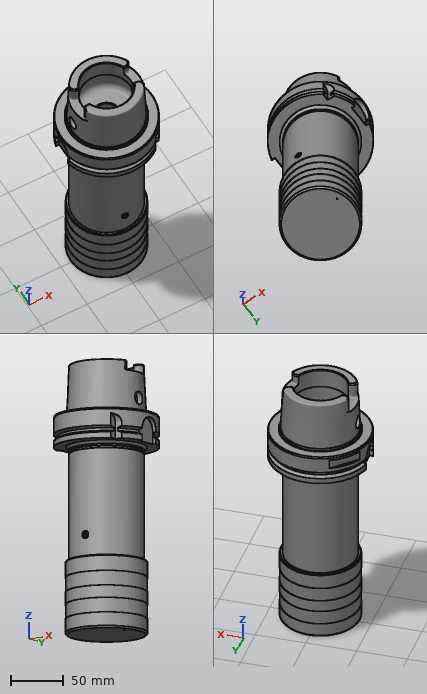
import cadquery as cq
import math

TOTAL_HEIGHT = 260.0
PIP_HEIGHT = 0.5
BOTTOM_Z = PIP_HEIGHT

COLLAR_RADIUS = 39.0
COLLAR_TOP_Z = 71.0
COLLAR_TOP_CHAMFER = 1.0
COLLAR_BOTTOM_CHAMFER = 1.8
BAND_DEPTH = 0.3
BAND_HEIGHT = 14.0
BAND_BOTTOMS = (15.3, 41.3)

SHANK_RADIUS = 36.0
NECK_RADIUS = 38.7
NECK_GROOVE_BOTTOM_Z = 174.2
NECK_GROOVE_TOP_Z = 176.8
NECK_GROOVE_DEPTH = 0.4

FLANGE_DIAMETER = 100.0
FLANGE_RADIUS = FLANGE_DIAMETER / 2
FLANGE_BOTTOM_Z = 181.2
FLANGE_TOP_Z = 210.5
FLANGE_CHAMFER = 0.8
FLANGE_CHAMFER_HEIGHT = 1.5
GROOVE_RADIUS = 46.5
GROOVE_BOTTOM_Z = 186.7
GROOVE_ROOT_BOTTOM_Z = 188.8
GROOVE_ROOT_TOP_Z = 191.4
GROOVE_TOP_Z = 193.2

TAPER_BASE_RADIUS = 38.0
TAPER_TOP_RADIUS = 35.5
RIM_FILLET = 1.5
RELIEF_DEPTH = 0.4
FACE_GROOVE_DEPTH = 0.8
RELIEF_HEIGHT = 2.0
RELIEF_OUTER_RADIUS = 39.8

MOUTH_RADIUS = 26.3
MOUTH_CHAMFER = 0.8
MOUTH_BOTTOM_Z = 241.0
UNDERCUT_RADIUS = 31.5
UNDERCUT_FILLET = 6.2
BORE_FLOOR_Z = 215.0
COOLANT_RADIUS = 11.7
COOLANT_CHAMFER = 0.8
COOLANT_DEPTH = 15.5

SLOT_HALF_WIDTH = 9.5
SLOT_END_X = 32.2
SLOT_CORNER_RADIUS = 5.5
SLOT_FLOOR_FILLET = 1.5
SLOT_TOP_CHAMFER = 1.3
LEFT_SLOT_FLOOR_Z = 245.0
RIGHT_SLOT_FLOOR_Z = 250.0

CROSS_HOLE_RADIUS = 6.2
CROSS_HOLE_Z = 225.0

KEYWAY_RADIUS = 11.5
KEYWAY_TOP_Z = 205.1
KEYWAY_FLOOR_X = 45.0
NOTCH_RADIUS = 9.0
NOTCH_FLOOR_X = 31.5
NOTCH_WALL_Y = -31.5

POCKET_DISTANCE = 47.3
POCKET_BOTTOM_Z = 197.9
POCKET_TOP_Z = 206.7
POCKET_ANGLE = 135

SCREW_Z = 91.5
SCREW_RADIUS = 2.9
SCREW_RECESS = 1.5
SCREW_CHAMFER = 0.8
SOCKET_RADIUS = 2.0
SOCKET_POINT_RADIUS = 1.3
SOCKET_DEPTH = 4.0
PIP_RADIUS = 0.5
PIP_X = 28.5
PIP_Y = -12.2

CLEARANCE = 13.0


def turned_body():
    """Solid of revolution with collar, shank, flange and taper."""
    relief_radius = TAPER_BASE_RADIUS - RELIEF_DEPTH
    neck_bottom_z = FLANGE_BOTTOM_Z - (NECK_RADIUS - SHANK_RADIUS)
    neck_groove_radius = SHANK_RADIUS - NECK_GROOVE_DEPTH
    points = [
        (0, BOTTOM_Z),
        (COLLAR_RADIUS - COLLAR_BOTTOM_CHAMFER, BOTTOM_Z),
        (COLLAR_RADIUS, BOTTOM_Z + COLLAR_BOTTOM_CHAMFER),
    ]
    for band_z in BAND_BOTTOMS:
        points += [
            (COLLAR_RADIUS, band_z),
            (COLLAR_RADIUS - BAND_DEPTH, band_z),
            (COLLAR_RADIUS - BAND_DEPTH, band_z + BAND_HEIGHT),
            (COLLAR_RADIUS, band_z + BAND_HEIGHT),
        ]
    points += [
        (COLLAR_RADIUS, COLLAR_TOP_Z - COLLAR_TOP_CHAMFER),
        (COLLAR_RADIUS - COLLAR_TOP_CHAMFER, COLLAR_TOP_Z),
        (SHANK_RADIUS, COLLAR_TOP_Z),
        (SHANK_RADIUS, NECK_GROOVE_BOTTOM_Z),
        (neck_groove_radius, NECK_GROOVE_BOTTOM_Z + NECK_GROOVE_DEPTH),
        (neck_groove_radius, NECK_GROOVE_TOP_Z - NECK_GROOVE_DEPTH),
        (SHANK_RADIUS, NECK_GROOVE_TOP_Z),
        (SHANK_RADIUS, neck_bottom_z),
        (NECK_RADIUS, FLANGE_BOTTOM_Z),
        (FLANGE_RADIUS, FLANGE_BOTTOM_Z),
        (FLANGE_RADIUS, GROOVE_BOTTOM_Z),
        (GROOVE_RADIUS, GROOVE_ROOT_BOTTOM_Z),
        (GROOVE_RADIUS, GROOVE_ROOT_TOP_Z),
        (FLANGE_RADIUS, GROOVE_TOP_Z),
        (FLANGE_RADIUS, FLANGE_TOP_Z - FLANGE_CHAMFER_HEIGHT),
        (FLANGE_RADIUS - FLANGE_CHAMFER, FLANGE_TOP_Z),
        (RELIEF_OUTER_RADIUS, FLANGE_TOP_Z),
        (RELIEF_OUTER_RADIUS - FACE_GROOVE_DEPTH, FLANGE_TOP_Z - FACE_GROOVE_DEPTH),
        (relief_radius, FLANGE_TOP_Z - FACE_GROOVE_DEPTH),
        (relief_radius, FLANGE_TOP_Z + RELIEF_HEIGHT - RELIEF_DEPTH),
        (TAPER_BASE_RADIUS, FLANGE_TOP_Z + RELIEF_HEIGHT),
        (TAPER_TOP_RADIUS, TOTAL_HEIGHT),
        (0, TOTAL_HEIGHT),
    ]
    profile = cq.Workplane("XZ").polyline(points).close()
    body = profile.revolve(360, (0, 0, 0), (0, 1, 0))
    return body.faces(">Z").edges().fillet(RIM_FILLET)


def bore():
    """Cutter for the stepped bore: mouth, undercut with a filleted floor, and coolant hole."""
    coolant_bottom_z = BORE_FLOOR_Z - COOLANT_DEPTH
    floor_radius = UNDERCUT_RADIUS - UNDERCUT_FILLET
    fillet_top_z = BORE_FLOOR_Z + UNDERCUT_FILLET
    fillet_offset = UNDERCUT_FILLET * math.sin(math.radians(45))
    fillet_mid = (floor_radius + fillet_offset, fillet_top_z - fillet_offset)
    profile = (
        cq.Workplane("XZ")
        .moveTo(0, coolant_bottom_z)
        .lineTo(COOLANT_RADIUS, coolant_bottom_z)
        .lineTo(COOLANT_RADIUS, BORE_FLOOR_Z - COOLANT_CHAMFER)
        .lineTo(COOLANT_RADIUS + COOLANT_CHAMFER, BORE_FLOOR_Z)
        .lineTo(floor_radius, BORE_FLOOR_Z)
        .threePointArc(fillet_mid, (UNDERCUT_RADIUS, fillet_top_z))
        .lineTo(UNDERCUT_RADIUS, MOUTH_BOTTOM_Z)
        .lineTo(MOUTH_RADIUS, MOUTH_BOTTOM_Z)
        .lineTo(MOUTH_RADIUS, TOTAL_HEIGHT - MOUTH_CHAMFER)
        .lineTo(MOUTH_RADIUS + MOUTH_CHAMFER, TOTAL_HEIGHT)
        .lineTo(0, TOTAL_HEIGHT)
        .close()
    )
    return profile.revolve(360, (0, 0, 0), (0, 1, 0))


def slot_outline(z):
    """Plan outline at height z of a rim slot on the +X side, open towards both rim ends.

    Each rim end is rounded until its arc is farthest from the tool axis; from there
    the wall runs on straight along the arc's tangent and leaves the taper.
    """
    center_x = SLOT_END_X - SLOT_CORNER_RADIUS
    center_y = SLOT_HALF_WIDTH + SLOT_CORNER_RADIUS
    end_angle = math.atan2(center_y, center_x)
    mid_angle = (end_angle - math.pi / 2) / 2
    mid_x = center_x + SLOT_CORNER_RADIUS * math.cos(mid_angle)
    mid_y = center_y + SLOT_CORNER_RADIUS * math.sin(mid_angle)
    end_x = center_x + SLOT_CORNER_RADIUS * math.cos(end_angle)
    end_y = center_y + SLOT_CORNER_RADIUS * math.sin(end_angle)
    runout_x = end_x - CLEARANCE * math.sin(end_angle)
    runout_y = end_y + CLEARANCE * math.cos(end_angle)
    outer_x = TAPER_BASE_RADIUS + CLEARANCE
    return (
        cq.Workplane("XY", origin=(0, 0, z))
        .moveTo(0, -SLOT_HALF_WIDTH)
        .lineTo(center_x, -SLOT_HALF_WIDTH)
        .threePointArc((mid_x, -mid_y), (end_x, -end_y))
        .lineTo(runout_x, -runout_y)
        .lineTo(outer_x, -runout_y)
        .lineTo(outer_x, runout_y)
        .lineTo(runout_x, runout_y)
        .lineTo(end_x, end_y)
        .threePointArc((mid_x, mid_y), (center_x, SLOT_HALF_WIDTH))
        .lineTo(0, SLOT_HALF_WIDTH)
        .close()
    )


def drive_slot(floor_z):
    """Cutter for a rim slot on the +X side with a filleted floor and a chamfered top edge."""
    slot = slot_outline(floor_z).extrude(TOTAL_HEIGHT - floor_z)
    slot = slot.faces("<Z").edges().fillet(SLOT_FLOOR_FILLET)
    chamfer = slot_outline(TOTAL_HEIGHT - SLOT_TOP_CHAMFER).extrude(SLOT_TOP_CHAMFER, taper=-45)
    return slot.union(chamfer)


def cross_hole():
    """Cutter for the round hole through both sides of the taper."""
    hole = cq.Workplane("YZ").center(0, CROSS_HOLE_Z).circle(CROSS_HOLE_RADIUS)
    return hole.extrude(TAPER_BASE_RADIUS + CLEARANCE, both=True)


def round_topped_cut(floor_x, center_y, radius, top_z):
    """Cutter that enters from +X, stops at floor_x and leaves through the flange underside."""
    spring_z = top_z - radius
    outline = (
        cq.Workplane("YZ", origin=(floor_x, center_y, 0))
        .moveTo(-radius, FLANGE_BOTTOM_Z)
        .lineTo(-radius, spring_z)
        .threePointArc((0, top_z), (radius, spring_z))
        .lineTo(radius, FLANGE_BOTTOM_Z)
        .close()
    )
    return outline.extrude(FLANGE_RADIUS - floor_x + CLEARANCE)


def rim_pocket():
    """Cutter for the flat milled across the flange rim."""
    depth = FLANGE_RADIUS - POCKET_DISTANCE + CLEARANCE
    height = POCKET_TOP_Z - POCKET_BOTTOM_Z
    block = cq.Workplane("XY").box(depth, 2 * FLANGE_RADIUS, height, centered=(False, True, False))
    block = block.translate((POCKET_DISTANCE, 0, POCKET_BOTTOM_Z))
    return block.rotate((0, 0, 0), (0, 0, 1), POCKET_ANGLE)


def screw_seat():
    """Cutter for the recessed set screw and its pointed socket on the -Y side of the shank."""
    points = [
        (0, 0),
        (SCREW_RADIUS + SCREW_CHAMFER, 0),
        (SCREW_RADIUS, SCREW_CHAMFER),
        (SCREW_RADIUS, SCREW_RECESS),
        (SOCKET_RADIUS, SCREW_RECESS),
        (SOCKET_POINT_RADIUS, SOCKET_DEPTH),
        (0, SOCKET_DEPTH),
    ]
    seat = cq.Workplane("XY").polyline(points).close().revolve(360, (0, 0, 0), (0, 1, 0))
    return seat.translate((0, -SHANK_RADIUS, SCREW_Z))


def pip():
    """Small pip standing out of the bottom face."""
    base = cq.Workplane("XY").center(PIP_X, PIP_Y).circle(PIP_RADIUS)
    return base.extrude(PIP_HEIGHT + COLLAR_BOTTOM_CHAMFER)


def turned_to_left(cutter):
    """Half turn about the tool axis, from the +X side to the -X side."""
    return cutter.rotate((0, 0, 0), (0, 0, 1), 180)


keyway = round_topped_cut(KEYWAY_FLOOR_X, 0, KEYWAY_RADIUS, KEYWAY_TOP_Z)
notch = round_topped_cut(NOTCH_FLOOR_X, NOTCH_WALL_Y - NOTCH_RADIUS, NOTCH_RADIUS, KEYWAY_TOP_Z)

result = turned_body().cut(drive_slot(RIGHT_SLOT_FLOOR_Z))
result = result.cut(turned_to_left(drive_slot(LEFT_SLOT_FLOOR_Z)))
result = result.cut(bore())
result = result.cut(cross_hole())
result = result.cut(keyway).cut(turned_to_left(keyway)).cut(notch)
result = result.cut(rim_pocket()).cut(screw_seat())
result = result.union(pip())